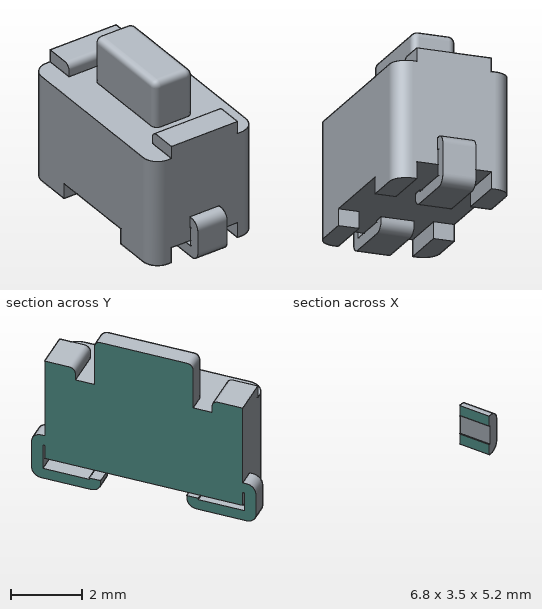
import cadquery as cq

body_length = 6.0
body_width = 3.5
body_height = 3.5
body_corner_radius = 0.495

foot_height = 0.5
foot_gap_x = 2.8
foot_gap_y = 2.25

clip_length = 0.94
clip_width = foot_gap_y
clip_height = 0.4
clip_radius = 0.2

button_length = 3.0
button_width = 1.3
button_height = 1.5
button_radius = 0.2

overall_length = 6.8
terminal_width = 1.0
terminal_thickness = 0.355
terminal_bend_radius = 0.3
terminal_top = 1.305
terminal_reach = 2.1
terminal_lip_height = 0.4
terminal_embed = 0.135
left_terminal_bottom = -0.2
right_terminal_bottom = 0.0


def make_housing():
    housing = (
        cq.Workplane("XY")
        .box(body_length, body_width, body_height, centered=(True, True, False))
        .edges("|Z")
        .fillet(body_corner_radius)
    )
    channel_along_y = cq.Workplane("XY").box(
        foot_gap_x, body_width, foot_height, centered=(True, True, False)
    )
    channel_along_x = cq.Workplane("XY").box(
        body_length, foot_gap_y, foot_height, centered=(True, True, False)
    )
    return housing.cut(channel_along_y).cut(channel_along_x)


def make_left_clip():
    return (
        cq.Workplane("XY", origin=(-(body_length - clip_length) / 2, 0, body_height))
        .box(clip_length, clip_width, clip_height, centered=(True, True, False))
        .edges(">X and >Z")
        .fillet(clip_radius)
    )


def make_button():
    return (
        cq.Workplane("XY", origin=(0, 0, body_height))
        .box(button_length, button_width, button_height, centered=(True, True, False))
        .edges("|Z or >Z")
        .fillet(button_radius)
    )


def make_left_terminal(bottom):
    """Strip that leaves the left wall, bends down and hooks back under the housing."""
    outer_x = -overall_length / 2
    inner_x = outer_x + terminal_thickness
    tip_x = outer_x + terminal_reach
    lip_x = tip_x - terminal_thickness
    wall_x = -body_length / 2 + terminal_embed
    floor = bottom + terminal_thickness
    lip_top = bottom + terminal_lip_height
    arm_underside = terminal_top - terminal_thickness
    strip = (
        cq.Workplane("XZ")
        .polyline([
            (wall_x, terminal_top),
            (outer_x, terminal_top),
            (outer_x, bottom),
            (tip_x, bottom),
            (tip_x, lip_top),
            (lip_x, lip_top),
            (lip_x, floor),
            (inner_x, floor),
            (inner_x, arm_underside),
            (wall_x, arm_underside),
        ])
        .close()
        .extrude(terminal_width / 2, both=True)
    )
    return strip.edges("|Y and (<X or <Z)").fillet(terminal_bend_radius)


left_clip = make_left_clip()
left_terminal = make_left_terminal(left_terminal_bottom)
right_terminal = make_left_terminal(right_terminal_bottom).mirror("YZ")

result = (
    make_housing()
    .union(make_button())
    .union(left_clip)
    .union(left_clip.mirror("YZ"))
    .union(left_terminal)
    .union(right_terminal)
)